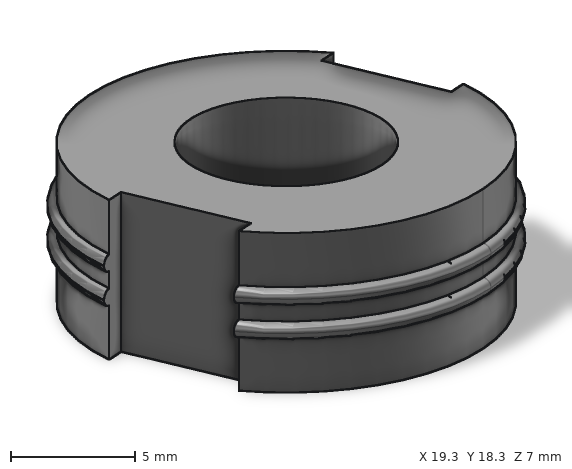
import cadquery as cq

body_diameter = 18.5
body_height = 7.0
bore_diameter = 9.0
notch_width = 6.1
notch_floor_spacing = 15.6
bead_diameter = 0.75
bead_spacing = 1.5

body_radius = body_diameter / 2
bead_radius = bead_diameter / 2
bead_heights = [body_height / 2 + side * bead_spacing / 2 for side in (-1, 1)]


def make_body():
    """Plain cylinder standing on the XY plane."""
    return cq.Workplane("XY").circle(body_radius).extrude(body_height)


def make_bead(height):
    """Round bead centred on the body's outer surface, running all the way round."""
    return cq.Workplane("XY").add(
        cq.Solid.makeTorus(body_radius, bead_radius, cq.Vector(0, 0, height))
    )


def make_bore():
    """Central through bore."""
    return cq.Workplane("XY").circle(bore_diameter / 2).extrude(body_height)


def make_notch(side):
    """Full-height rectangular notch on the +Y (side = 1) or -Y (side = -1) edge."""
    notch_depth = body_radius + bead_diameter - notch_floor_spacing / 2
    notch_centre = side * (notch_floor_spacing + notch_depth) / 2
    return (
        cq.Workplane("XY")
        .center(0, notch_centre)
        .rect(notch_width, notch_depth)
        .extrude(body_height)
    )


result = make_body()
for bead_height in bead_heights:
    result = result.union(make_bead(bead_height))
result = result.cut(make_bore())
for notch_side in (-1, 1):
    result = result.cut(make_notch(notch_side))